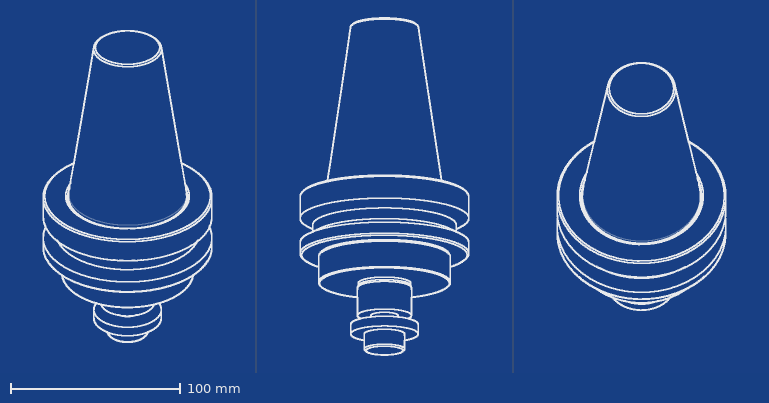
import cadquery as cq


total_height = 197.8
taper_base = 96.1
flange_top = 94.7
groove_upper_edge = 80.5
groove_top = 76.4
groove_bottom = 69.8
groove_lower_edge = 65.9
flange_bottom = 58.2
spigot_bottom = 41.0
arbor_bottom = 21.4
collar_top = 16.0
collar_bottom = 10.0

taper_small_diameter = 40.0
taper_large_diameter = 69.8
flange_diameter = 99.9
groove_diameter = 85.0
spigot_diameter = 78.0
arbor_diameter = 32.0
arbor_relief_diameter = 31.3
neck_diameter = 16.0
collar_diameter = 40.0
tip_diameter = 24.0

taper_top_chamfer = 1.0
flange_chamfer = 1.0
spigot_chamfer = 0.5
tip_chamfer = 1.0
arbor_relief_height = 1.5
arbor_chamfer_height = 1.2
recess_outer_diameter = 73.2
recess_floor_diameter = 71.2
recess_depth = 1.0
spigot_relief_height = 1.0
spigot_relief_depth = 0.5


def cylinder(diameter, bottom, top):
    """Round section between two heights."""
    return cq.Workplane("XY").workplane(offset=bottom).circle(diameter / 2).extrude(top - bottom)


def revolve_profile(points):
    """Solid of revolution about Z from (radius, height) points."""
    return cq.Workplane("XZ").polyline(points).close().revolve(360, (0, 0, 0), (0, 1, 0))


def make_taper():
    large_radius = taper_large_diameter / 2
    recess_floor = flange_top - recess_depth
    taper = revolve_profile([
        (0, recess_floor),
        (large_radius, recess_floor),
        (large_radius, taper_base),
        (taper_small_diameter / 2, total_height),
        (0, total_height),
    ])
    return taper.faces(">Z").edges().chamfer(taper_top_chamfer)


def make_flange():
    flange = cylinder(flange_diameter, flange_bottom, flange_top)
    flange = flange.edges("%CIRCLE").chamfer(flange_chamfer)
    outer_radius = flange_diameter / 2
    groove_radius = groove_diameter / 2
    gripper_groove = revolve_profile([
        (outer_radius, groove_lower_edge),
        (groove_radius, groove_bottom),
        (groove_radius, groove_top),
        (outer_radius, groove_upper_edge),
    ])
    recess_floor = flange_top - recess_depth
    recess = revolve_profile([
        (0, recess_floor),
        (recess_floor_diameter / 2, recess_floor),
        (recess_outer_diameter / 2, flange_top),
        (0, flange_top),
    ])
    return flange.cut(gripper_groove).cut(recess)


def make_spigot():
    spigot = cylinder(spigot_diameter, spigot_bottom, flange_bottom - spigot_relief_height)
    spigot = spigot.faces("<Z").edges().chamfer(spigot_chamfer)
    relief_diameter = spigot_diameter - 2 * spigot_relief_depth
    return spigot.union(cylinder(relief_diameter, spigot_bottom + spigot_chamfer, flange_bottom))


def make_arbor():
    relief_bottom = spigot_bottom - arbor_relief_height
    arbor_radius = arbor_diameter / 2
    relief_radius = arbor_relief_diameter / 2
    return revolve_profile([
        (0, arbor_bottom),
        (arbor_radius, arbor_bottom),
        (arbor_radius, relief_bottom - arbor_chamfer_height),
        (relief_radius, relief_bottom),
        (relief_radius, spigot_bottom),
        (0, spigot_bottom),
    ])


def make_retaining_screw():
    neck = cylinder(neck_diameter, collar_top, arbor_bottom)
    collar = cylinder(collar_diameter, collar_bottom, collar_top)
    tip = cylinder(tip_diameter, 0, collar_bottom).faces("<Z").edges().chamfer(tip_chamfer)
    return neck.union(collar).union(tip)


result = (
    make_flange()
    .union(make_taper())
    .union(make_spigot())
    .union(make_arbor())
    .union(make_retaining_screw())
)